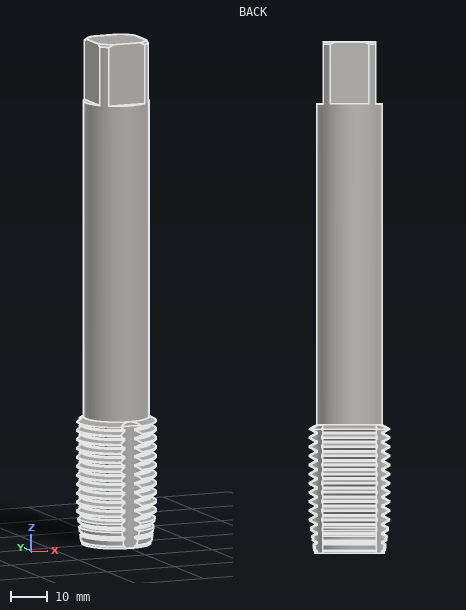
import cadquery as cq
import math

TOTAL_LENGTH = 140.0
THREAD_LENGTH = 34.0

SHANK_RADIUS = 9.0
SQUARE_WIDTH = 14.5
SQUARE_LENGTH = 17.0
DRIVE_CHAMFER = 0.7

THREAD_RADIUS = 11.0
PITCH = 2.5
THREAD_DEPTH = 0.6134 * PITCH
ROOT_RADIUS = THREAD_RADIUS - THREAD_DEPTH
CREST_FLAT = PITCH / 8
FLANK_SLOPE = math.tan(math.radians(30))
FLANK_RISE = THREAD_DEPTH * FLANK_SLOPE

SHOULDER_HEIGHT = (THREAD_RADIUS - SHANK_RADIUS) * FLANK_SLOPE
SHOULDER_TOP = THREAD_LENGTH + SHOULDER_HEIGHT

LEAD_LENGTH = 9.5
TIP_RADIUS = 9.65

FLUTE_COUNT = 3
FLUTE_RADIUS = 3.9
FLUTE_FLOOR_RADIUS = 9.05
FIRST_FLUTE_ANGLE = -90.0


def make_flutes():
    """Straight round-bottomed cutters, evenly spaced around the axis."""
    return (
        cq.Workplane("XY")
        .polarArray(FLUTE_FLOOR_RADIUS + FLUTE_RADIUS, FIRST_FLUTE_ANGLE, 360, FLUTE_COUNT)
        .circle(FLUTE_RADIUS)
        .extrude(SHOULDER_TOP)
    )


def make_square_waste():
    """Material around the square drive at the upper end of the shank."""
    return (
        cq.Workplane("XY")
        .workplane(offset=TOTAL_LENGTH - SQUARE_LENGTH)
        .circle(2 * SHANK_RADIUS)
        .rect(SQUARE_WIDTH, SQUARE_WIDTH)
        .extrude(SQUARE_LENGTH)
    )


def make_shank():
    """Round shank with a fluted conical shoulder below and a chamfered square drive on top."""
    shank = (
        cq.Workplane("XZ")
        .moveTo(0, THREAD_LENGTH)
        .lineTo(THREAD_RADIUS, THREAD_LENGTH)
        .lineTo(SHANK_RADIUS, SHOULDER_TOP)
        .lineTo(SHANK_RADIUS, TOTAL_LENGTH)
        .lineTo(0, TOTAL_LENGTH)
        .close()
        .revolve(360, (0, 0, 0), (0, 1, 0))
    )
    shank = shank.faces(">Z").chamfer(DRIVE_CHAMFER)
    return shank.cut(make_square_waste()).cut(make_flutes())


def make_thread_blank():
    """Ring-shaped teeth, one per pitch; the last one ends at its crest, against the shank."""
    full_teeth = math.floor(THREAD_LENGTH / PITCH)
    profile = cq.Workplane("XZ").moveTo(0, 0).lineTo(ROOT_RADIUS, 0)
    for index in reversed(range(1, full_teeth + 1)):
        lower_crest = THREAD_LENGTH - index * PITCH
        upper_crest = lower_crest + CREST_FLAT
        profile = (
            profile.lineTo(ROOT_RADIUS, lower_crest - FLANK_RISE)
            .lineTo(THREAD_RADIUS, lower_crest)
            .lineTo(THREAD_RADIUS, upper_crest)
            .lineTo(ROOT_RADIUS, upper_crest + FLANK_RISE)
        )
    profile = (
        profile.lineTo(ROOT_RADIUS, THREAD_LENGTH - FLANK_RISE)
        .lineTo(THREAD_RADIUS, THREAD_LENGTH)
        .lineTo(0, THREAD_LENGTH)
        .close()
    )
    return profile.revolve(360, (0, 0, 0), (0, 1, 0))


def make_lead_envelope():
    """Cylinder narrowing to a cone at the tip; it trims the lowest teeth."""
    return (
        cq.Workplane("XZ")
        .moveTo(0, 0)
        .lineTo(TIP_RADIUS, 0)
        .lineTo(THREAD_RADIUS, LEAD_LENGTH)
        .lineTo(THREAD_RADIUS, THREAD_LENGTH)
        .lineTo(0, THREAD_LENGTH)
        .close()
        .revolve(360, (0, 0, 0), (0, 1, 0))
    )


def make_head():
    """Threaded cutting head with flutes along its full length."""
    return make_thread_blank().intersect(make_lead_envelope()).cut(make_flutes())


shank = make_shank()
head = make_head()
result = cq.Compound.makeCompound([shank.val(), head.val()])